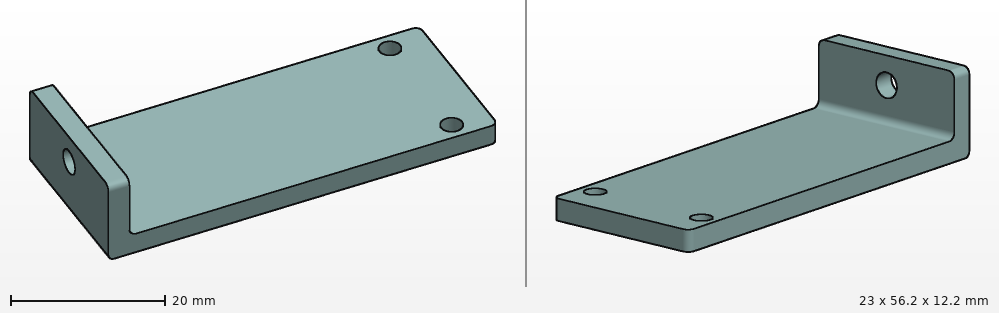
import cadquery as cq

width = 23.0
length = 56.25
height = 12.2
thickness = 3.05

corner_radius = 1.0
inner_bend_radius = 1.0
outer_bend_radius = 0.85

base_hole_diameter = 3.0
base_hole_spacing = 18.0
base_hole_end_distance = 5.45
lip_hole_diameter = 3.5
lip_hole_height = 8.15


def bracket_body():
    """L profile in the YZ plane, extruded symmetrically about X = 0."""
    profile = [
        (0, 0),
        (length, 0),
        (length, thickness),
        (thickness, thickness),
        (thickness, height),
        (0, height),
    ]
    return cq.Workplane("YZ").polyline(profile).close().extrude(width / 2, both=True)


def round_edges(body):
    """Round the bend inside and out, and the free corners of both plates."""
    inner_bend = cq.selectors.NearestToPointSelector((0, thickness, thickness))
    body = body.edges(inner_bend).fillet(inner_bend_radius)
    body = body.edges("|X and <Y and <Z").fillet(outer_bend_radius)
    body = body.edges("|Z and >Y").fillet(corner_radius)
    lip_corners = body.faces(">Z").edges("|Y")
    return lip_corners.fillet(corner_radius)


def base_holes():
    """Pair of vertical holes near the far end of the base plate."""
    hole_y = length - base_hole_end_distance
    centers = [(side * base_hole_spacing / 2, hole_y) for side in (-1, 1)]
    return cq.Workplane("XY").pushPoints(centers).circle(base_hole_diameter / 2).extrude(thickness)


def lip_hole():
    """Horizontal hole through the upright lip."""
    return (
        cq.Workplane("XZ")
        .center(0, lip_hole_height)
        .circle(lip_hole_diameter / 2)
        .extrude(-thickness)
    )


result = round_edges(bracket_body()).cut(base_holes()).cut(lip_hole())